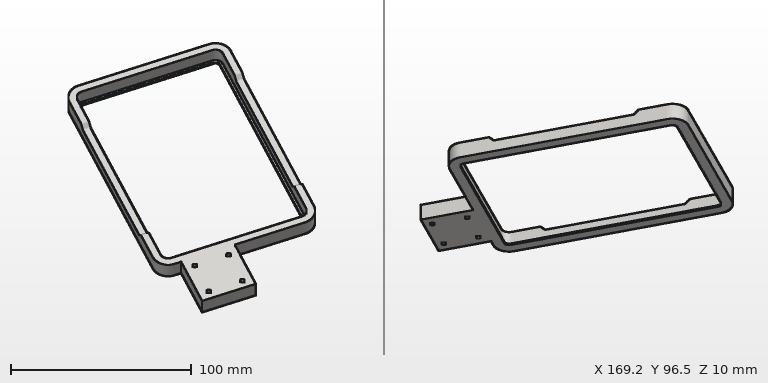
import cadquery as cq
import math

TOTAL_LENGTH = 169.2
FRAME_LENGTH = 138.7
FRAME_WIDTH = 96.5
HEIGHT = 10.0

CORNER_RADIUS = 9.1
WALL = 4.7
LEDGE_WIDTH = 1.7
LEDGE_THICKNESS = 1.0

RECESS_INSET = 25.4
RECESS_DEPTH = 2.7
RECESS_BLEND_RADIUS = 1.4
RAMP_ANGLE = math.radians(45)

TAB_WIDTH = 32.1
TAB_OFFSET = 13.2
HOLE_DIAMETER = 2.5
HOLE_SPACING = 20.1
HOLE_END_MARGIN = 4.9


def rounded_plate(inset, bottom, height):
    """Frame outline moved inward by inset, extruded up from bottom."""
    return (
        cq.Workplane("XY", origin=(FRAME_LENGTH / 2, FRAME_WIDTH / 2, bottom))
        .rect(FRAME_LENGTH - 2 * inset, FRAME_WIDTH - 2 * inset)
        .extrude(height)
        .edges("|Z")
        .fillet(CORNER_RADIUS - inset)
    )


def make_frame():
    opening = rounded_plate(WALL + LEDGE_WIDTH, 0, HEIGHT)
    seat = rounded_plate(WALL, LEDGE_THICKNESS, HEIGHT - LEDGE_THICKNESS)
    return rounded_plate(0, 0, HEIGHT).cut(opening).cut(seat)


def make_recess():
    """Cutter whose end ramps blend smoothly into the rim and the recess floor."""
    radius = RECESS_BLEND_RADIUS
    floor = HEIGHT - RECESS_DEPTH
    arc_run = radius * math.sin(RAMP_ANGLE)
    arc_drop = radius * (1 - math.cos(RAMP_ANGLE))
    mid_run = radius * math.sin(RAMP_ANGLE / 2)
    mid_drop = radius * (1 - math.cos(RAMP_ANGLE / 2))
    ramp_run = (RECESS_DEPTH - 2 * arc_drop) / math.tan(RAMP_ANGLE)

    rim_left = RECESS_INSET
    rim_right = FRAME_LENGTH - RECESS_INSET
    floor_left = rim_left + 2 * arc_run + ramp_run
    floor_right = rim_right - 2 * arc_run - ramp_run
    return (
        cq.Workplane("XZ")
        .moveTo(rim_left, HEIGHT)
        .threePointArc((rim_left + mid_run, HEIGHT - mid_drop), (rim_left + arc_run, HEIGHT - arc_drop))
        .lineTo(floor_left - arc_run, floor + arc_drop)
        .threePointArc((floor_left - mid_run, floor + mid_drop), (floor_left, floor))
        .lineTo(floor_right, floor)
        .threePointArc((floor_right + mid_run, floor + mid_drop), (floor_right + arc_run, floor + arc_drop))
        .lineTo(rim_right - arc_run, HEIGHT - arc_drop)
        .threePointArc((rim_right - mid_run, HEIGHT - mid_drop), (rim_right, HEIGHT))
        .close()
        .extrude(-FRAME_WIDTH)
    )


def make_tab():
    """Full-height tab, rooted in the frame wall, with four through holes."""
    root = FRAME_LENGTH - WALL / 2
    center_y = TAB_OFFSET + TAB_WIDTH / 2
    holes_x = TOTAL_LENGTH - HOLE_END_MARGIN - HOLE_SPACING / 2
    tab = cq.Workplane("XY", origin=(root, TAB_OFFSET, 0)).box(
        TOTAL_LENGTH - root, TAB_WIDTH, HEIGHT, centered=False
    )
    holes = (
        cq.Workplane("XY", origin=(holes_x, center_y, 0))
        .rarray(HOLE_SPACING, HOLE_SPACING, 2, 2)
        .circle(HOLE_DIAMETER / 2)
        .extrude(HEIGHT)
    )
    return tab.cut(holes)


result = make_frame().cut(make_recess()).union(make_tab())